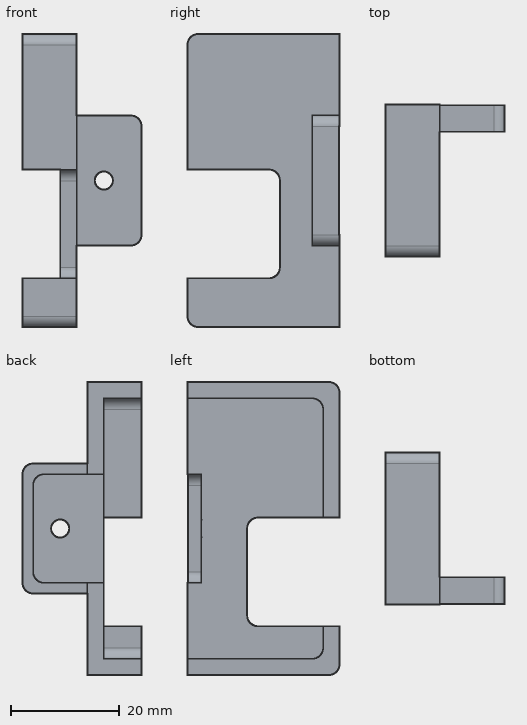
import cadquery as cq

height = 54.0
body_depth = 28.0
body_width = 10.0
wall = 3.0
corner_radius = 2.0

opening_bottom = 9.0
opening_height = 20.0
opening_depth = 17.0

flange_length = 12.0
flange_height = 24.0
flange_thickness = 4.95
flange_inset = 0.1
flange_hole_diameter = 3.3
flange_hole_offset = 5.0

pocket_depth = 2.6
pocket_margin = (flange_height - opening_height) / 2

body_front = 0.0
overall_width = body_width + flange_length
flange_back = body_depth - flange_inset
plate_start = body_width - wall
mid_height = height / 2


def box(x_range, y_range, z_range):
    """Axis-aligned box spanning the given (low, high) ranges."""
    low, high = zip(x_range, y_range, z_range)
    size = [end - start for start, end in zip(low, high)]
    return cq.Workplane("XY").box(*size, centered=False).translate(low)


def make_body():
    """Plate with a three-sided rim, open at the back."""
    body = box((0, body_width), (body_front, body_depth), (0, height))
    body = body.edges("|X and <Y").fillet(corner_radius)
    recess = box((0, plate_start), (wall, body_depth), (wall, height - wall))
    return body.cut(recess.edges("|X and <Y").fillet(corner_radius))


def make_opening():
    """Front opening with rounded inner corners."""
    opening_top = opening_bottom + opening_height
    opening = box((0, body_width), (body_front, opening_depth), (opening_bottom, opening_top))
    return opening.edges("|X and >Y").fillet(corner_radius)


def make_flange():
    """Rounded flange whose root is buried in the plate."""
    z_range = (mid_height - flange_height / 2, mid_height + flange_height / 2)
    flange = box((plate_start, overall_width), (flange_back - flange_thickness, flange_back), z_range)
    return flange.edges("|Y and >X").fillet(corner_radius)


def make_pocket():
    """Back pocket that leaves an even margin around the flange outline."""
    half_height = flange_height / 2 - pocket_margin
    pocket = box(
        (plate_start, overall_width - pocket_margin),
        (body_depth - pocket_depth, body_depth),
        (mid_height - half_height, mid_height + half_height),
    )
    return pocket.edges("|Y and >X").fillet(corner_radius)


def make_flange_hole():
    """Screw hole through the flange thickness."""
    hole = cq.Workplane("XZ").center(body_width + flange_hole_offset, mid_height)
    return hole.circle(flange_hole_diameter / 2).extrude(-body_depth)


result = (
    make_body()
    .cut(make_opening())
    .union(make_flange())
    .cut(make_pocket())
    .cut(make_flange_hole())
)